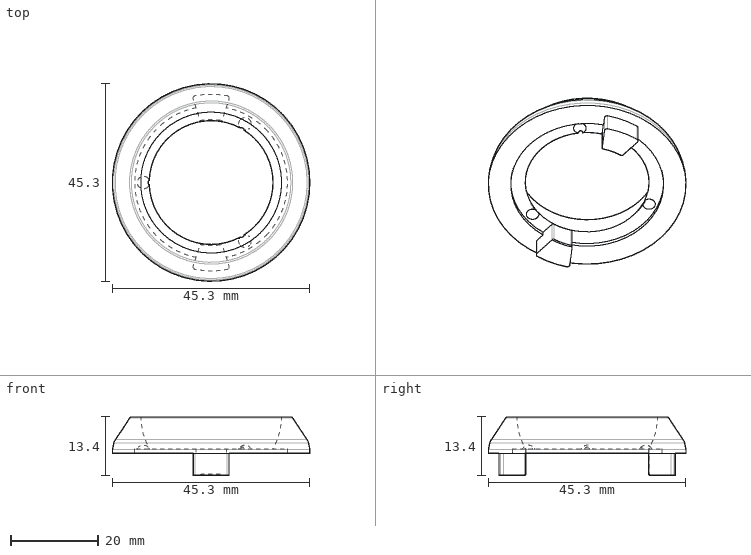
import cadquery as cq
import math

ring_height = 8.4
rim_radius = 45.3 / 2
rim_height = 0.95
shoulder_radius = 22.34
shoulder_height = 2.45
cone_base_radius = 22.0
cone_base_height = 3.15
cone_top_radius = 18.7
cone_top_height = 8.15
top_face_radius = 18.28

bowl_top_radius = 16.15
lip_radius = 14.15
lip_height = 1.0
recess_radius = 17.5

pocket_radius = 3.2 / 2
pocket_count = 3
pocket_first_angle = 60
pocket_center_radius = 15.5
pocket_center_height = 0.3

leg_drop = 5.0
leg_count = 2
leg_first_angle = 90
leg_outer_width = 8.95
leg_flank_angle = 18
leg_outer_radius = 20.25
leg_inner_radius = 14.2
leg_outer_fillet = 0.6
leg_inner_fillet = 0.4
leg_foot_chamfer = 0.25


def ring():
    """Solid of revolution with a conical flank, rounded at both ends, and a recessed underside."""
    return (
        cq.Workplane("XZ")
        .moveTo(0, lip_height)
        .lineTo(recess_radius, lip_height)
        .lineTo(recess_radius, 0)
        .lineTo(rim_radius, 0)
        .lineTo(rim_radius, rim_height)
        .lineTo(shoulder_radius, shoulder_height)
        .tangentArcPoint((cone_base_radius, cone_base_height), relative=False)
        .lineTo(cone_top_radius, cone_top_height)
        .tangentArcPoint((top_face_radius, ring_height), relative=False)
        .lineTo(0, ring_height)
        .close()
        .revolve(360, (0, 0, 0), (0, 1, 0))
    )


def bowl():
    """Sphere that passes through the lip and the inner edge of the top face."""
    depth = ring_height - lip_height
    center_above_lip = (bowl_top_radius**2 - lip_radius**2 + depth**2) / (2 * depth)
    radius = math.hypot(lip_radius, center_above_lip)
    return cq.Workplane("XY").sphere(radius).translate((0, 0, lip_height + center_above_lip))


def leg_band():
    """Full annulus that carries the legs, chamfered along the inner edge of its foot."""
    return (
        cq.Workplane("XZ")
        .moveTo(leg_inner_radius, lip_height)
        .lineTo(leg_inner_radius, leg_foot_chamfer - leg_drop)
        .lineTo(leg_inner_radius + leg_foot_chamfer, -leg_drop)
        .lineTo(leg_outer_radius, -leg_drop)
        .lineTo(leg_outer_radius, lip_height)
        .close()
        .revolve(360, (0, 0, 0), (0, 1, 0))
    )


def leg():
    """Leg on the +X side: a piece of the band between two converging flanks, with rounded corners."""
    outer_half_width = leg_outer_width / 2
    taper = math.tan(math.radians(leg_flank_angle))
    wedge_tip = leg_outer_radius - outer_half_width / taper
    wedge = (
        cq.Workplane("XY")
        .workplane(offset=-leg_drop)
        .moveTo(wedge_tip, 0)
        .lineTo(leg_outer_radius, -outer_half_width)
        .lineTo(leg_outer_radius, outer_half_width)
        .close()
        .extrude(leg_drop + lip_height)
    )
    rounded = leg_band().intersect(wedge)
    rounded = rounded.edges("|Z").edges(">X").fillet(leg_outer_fillet)
    return rounded.edges("|Z").edges("<X").fillet(leg_inner_fillet)


def ball_pocket():
    """Spherical pocket on the +X side, biting into the lip."""
    return cq.Workplane("XY").sphere(pocket_radius).translate((pocket_center_radius, 0, pocket_center_height))


def around_axis(feature, count, first_angle):
    """Copies of a feature, evenly spaced around Z."""
    step = 360 / count
    return [feature.rotate((0, 0, 0), (0, 0, 1), first_angle + i * step) for i in range(count)]


result = ring()
for copy in around_axis(leg(), leg_count, leg_first_angle):
    result = result.union(copy)
result = result.cut(bowl())
for copy in around_axis(ball_pocket(), pocket_count, pocket_first_angle):
    result = result.cut(copy)